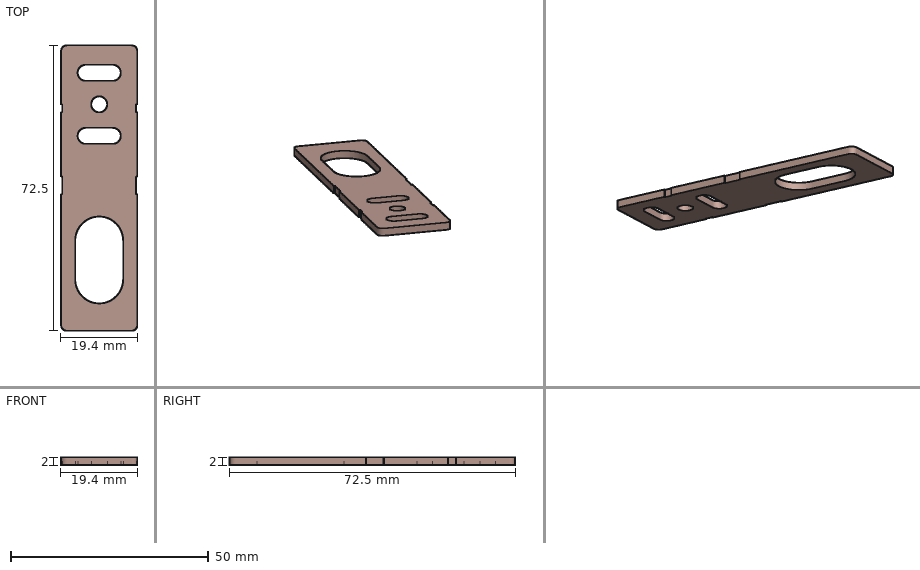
import cadquery as cq

width = 19.4
length = 72.5
thickness = 2.0
corner_radius = 1.5

hole_diameter = 4.0
hole_from_back = 15.0
slot_length = 10.9
slot_width = 4.0
slot_spacing = 8.0

window_length = 22.0
window_width = 12.1
window_from_front = 18.0

notch_depth = 0.3
notch_end_run = 0.15
short_notch_start = 14.93
short_notch_length = 2.15
long_notch_start = 33.25
long_notch_length = 4.65

back_y = length / 2
hole_y = back_y - hole_from_back
window_y = -length / 2 + window_from_front


def make_plate():
    """Flat plate with rounded vertical corners."""
    plate = cq.Workplane("XY").box(width, length, thickness)
    return plate.edges("|Z").fillet(corner_radius)


def cut_hole_and_slots(plate):
    """Round hole and the two cross slots beside it."""
    hole = cq.Workplane("XY", origin=(0, hole_y, -thickness)).circle(hole_diameter / 2)
    plate = plate.cut(hole.extrude(2 * thickness))
    for offset in (-slot_spacing, slot_spacing):
        slot = cq.Workplane("XY").center(0, hole_y + offset).slot2D(slot_length, slot_width)
        plate = plate.cut(slot.extrude(thickness, both=True))
    return plate


def cut_window(plate):
    """Large lengthwise slot through the plate."""
    window = cq.Workplane("XY").center(0, window_y).slot2D(window_length, window_width, 90)
    return plate.cut(window.extrude(thickness, both=True))


def cut_notch_pair(plate, start, notch_length):
    """Matching shallow notches in the left and right edges."""
    mouth_back = back_y - start
    mouth_front = mouth_back - notch_length
    for side in (-1, 1):
        edge_x = side * width / 2
        floor_x = edge_x - side * notch_depth
        notch = (
            cq.Workplane("XY")
            .moveTo(edge_x, mouth_back)
            .lineTo(floor_x, mouth_back - notch_end_run)
            .lineTo(floor_x, mouth_front + notch_end_run)
            .lineTo(edge_x, mouth_front)
            .close()
            .extrude(thickness, both=True)
        )
        plate = plate.cut(notch)
    return plate


result = make_plate()
result = cut_hole_and_slots(result)
result = cut_window(result)
result = cut_notch_pair(result, short_notch_start, short_notch_length)
result = cut_notch_pair(result, long_notch_start, long_notch_length)